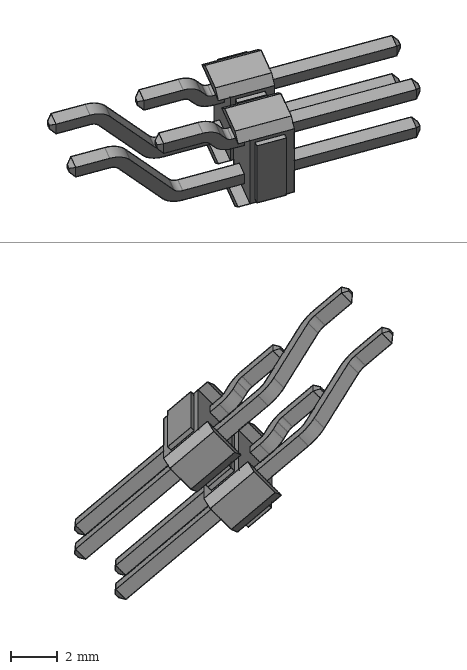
import cadquery as cq
import math


pitch = 2.54
position_count = 2

block_width = 2.12
block_height = 5.0
block_depth = 2.0
flange_depth = 2.54
edge_chamfer = 0.4

pad_height = 3.8
pad_depth = 1.34
pad_rear_offset = 0.43

pin_size = 0.64
rear_length = 6.0
tip_length = 0.23
tip_size = 0.24
pin_level = pitch / 2
contact_level = (block_height - pin_size) / 2
bend_angle = math.radians(54.5)

upper_bend_start = -flange_depth
upper_bend_radius = 0.66
upper_front_end = -flange_depth - 3.33

lower_bend_start = -flange_depth - 2.24
lower_bend_radius = 0.81
lower_front_end = -flange_depth - 7.30


def make_insulator():
    """Chamfered block, recessed at the front between a top and a bottom flange."""
    block = (
        cq.Workplane("XY")
        .box(block_width, flange_depth, block_height, centered=(True, False, True))
        .translate((0, -flange_depth, 0))
        .edges("|Y")
        .chamfer(edge_chamfer)
    )
    recess_depth = flange_depth - block_depth
    recess_height = block_height - 2 * edge_chamfer
    recess = (
        cq.Workplane("XY")
        .box(block_width, recess_depth, recess_height, centered=(True, False, True))
        .translate((0, -flange_depth, 0))
    )
    pads = (
        cq.Workplane("XY")
        .box(pitch, pad_depth, pad_height, centered=(True, False, True))
        .translate((0, -pad_rear_offset - pad_depth, 0))
    )
    return block.cut(recess).union(pads)


def make_tip(base_y, level, direction):
    """Blunt pyramid that ends a pin; direction is +1 toward +Y and -1 toward -Y."""
    end_y = base_y + direction * tip_length
    base = cq.Wire.makePolygon(square_corners(pin_size, base_y, level), close=True)
    end = cq.Wire.makePolygon(square_corners(tip_size, end_y, level), close=True)
    return cq.Workplane(cq.Solid.makeLoft([base, end], True))


def square_corners(size, y, level):
    """Corners of a square of the given size, centred on x = 0 in the plane at y."""
    half = size / 2
    signs = [(-1, -1), (1, -1), (1, 1), (-1, 1)]
    return [cq.Vector(sx * half, y, level + sz * half) for sx, sz in signs]


def make_pin(level, bend_start, bend_radius, front_end):
    """Square pin that runs forward from the rear, bends up and levels off at contact_level."""
    sine = math.sin(bend_angle)
    cosine = math.cos(bend_angle)
    half_sine = math.sin(bend_angle / 2)
    half_cosine = math.cos(bend_angle / 2)

    bend_run = bend_radius * sine
    bend_rise = bend_radius * (1 - cosine)
    middle_run = bend_radius * half_sine
    middle_rise = bend_radius * (1 - half_cosine)

    ramp_rise = contact_level - level - 2 * bend_rise
    ramp_run = ramp_rise * cosine / sine
    bend_end = bend_start - 2 * bend_run - ramp_run

    rear_base = rear_length - tip_length
    front_base = front_end + tip_length
    path = (
        cq.Workplane("YZ")
        .moveTo(rear_base, level)
        .lineTo(bend_start, level)
        .threePointArc(
            (bend_start - middle_run, level + middle_rise),
            (bend_start - bend_run, level + bend_rise),
        )
        .lineTo(bend_end + bend_run, contact_level - bend_rise)
        .threePointArc(
            (bend_end + middle_run, contact_level - middle_rise),
            (bend_end, contact_level),
        )
        .lineTo(front_base, contact_level)
    )
    shank = (
        cq.Workplane("XZ", origin=(0, rear_base, level))
        .rect(pin_size, pin_size)
        .sweep(path)
    )
    rear_tip = make_tip(rear_base, level, 1)
    front_tip = make_tip(front_base, contact_level, -1)
    return shank.union(rear_tip).union(front_tip)


def make_position():
    """One header position: the insulator joined with its upper and lower pin."""
    upper_pin = make_pin(pin_level, upper_bend_start, upper_bend_radius, upper_front_end)
    lower_pin = make_pin(-pin_level, lower_bend_start, lower_bend_radius, lower_front_end)
    return make_insulator().union(upper_pin).union(lower_pin)


header_positions = []
for index in range(position_count):
    x = (index - (position_count - 1) / 2) * pitch
    header_positions.append(make_position().translate((x, 0, 0)))

result = cq.Compound.makeCompound([position.val() for position in header_positions])